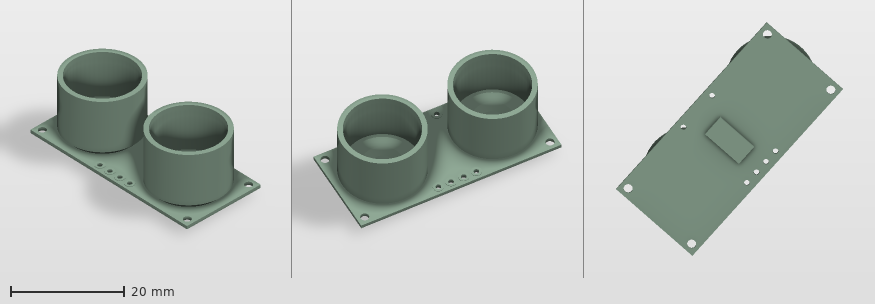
import cadquery as cq

BOARD_LENGTH = 40
BOARD_WIDTH = 18
BOARD_THICKNESS = 0.7
HOLE_SPACING_X = 37.0
HOLE_SPACING_Y = 15.0
MOUNT_HOLE_DIAMETER = 1.6

PAD_DIAMETER = 2
PAD_HOLE_DIAMETER = 1.0
PAD_HEIGHT = 0.1
PAD_COUNT = 4
PAD_ROW_SPAN = 7.6
PAD_PITCH = PAD_ROW_SPAN / (PAD_COUNT - 1)

CUP_SPACING = 22
CUP_DIAMETER = 16
CUP_BORE_DIAMETER = 14
CUP_HEIGHT = 12.1
FOOT_INSET = 1.1
FOOT_HEIGHT = 1.1
CUP_FLOOR_HEIGHT = 2.4

DISC_DIAMETER = 12
DISC_HEIGHT = 0.4
DISH_RIM_DIAMETER = 7.5
DISH_BASE_DIAMETER = 4
DISH_DEPTH = 0.4

CHIP_LENGTH = 4
CHIP_WIDTH = 8
CHIP_THICKNESS = 1.2
CHIP_GAP = 0.1

hole_x = HOLE_SPACING_X / 2
hole_y = HOLE_SPACING_Y / 2
mount_points = [(x, y) for x in (-hole_x, hole_x) for y in (-hole_y, hole_y)]

pad_row_x = [i * PAD_PITCH - PAD_ROW_SPAN / 2 for i in range(PAD_COUNT)]
pad_points = [(x, -hole_y) for x in pad_row_x]
pad_points += [(x, hole_y) for x in (pad_row_x[0], pad_row_x[-1])]


def make_cup(center_x):
    """Open cup with a tapered foot and a dished disc on its floor."""
    outer = CUP_DIAMETER / 2
    bore = CUP_BORE_DIAMETER / 2
    disc_top = CUP_FLOOR_HEIGHT + DISC_HEIGHT
    dish_bottom = disc_top - DISH_DEPTH
    half_profile = [
        (0, 0),
        (outer - FOOT_INSET, 0),
        (outer, FOOT_HEIGHT),
        (outer, CUP_HEIGHT),
        (bore, CUP_HEIGHT),
        (bore, CUP_FLOOR_HEIGHT),
        (DISC_DIAMETER / 2, CUP_FLOOR_HEIGHT),
        (DISC_DIAMETER / 2, disc_top),
        (DISH_RIM_DIAMETER / 2, disc_top),
        (DISH_BASE_DIAMETER / 2, dish_bottom),
        (0, dish_bottom),
    ]
    cup = cq.Workplane("XZ").polyline(half_profile).close().revolve(360, (0, 0, 0), (0, 1, 0))
    return cup.translate((center_x, 0, 0))


def make_sensor_board():
    """Board with its pads, holes and two cups, all in one solid."""
    board = (
        cq.Workplane("XY")
        .box(BOARD_LENGTH, BOARD_WIDTH, BOARD_THICKNESS, centered=(True, True, False))
        .translate((0, 0, -BOARD_THICKNESS))
    )
    pads = cq.Workplane("XY").pushPoints(pad_points).circle(PAD_DIAMETER / 2).extrude(PAD_HEIGHT)
    board = board.union(pads)

    drill_plane = cq.Workplane("XY").workplane(offset=-BOARD_THICKNESS)
    drill_depth = BOARD_THICKNESS + PAD_HEIGHT
    mount_radius = MOUNT_HOLE_DIAMETER / 2
    mount_holes = drill_plane.pushPoints(mount_points).circle(mount_radius).extrude(drill_depth)
    pad_holes = drill_plane.pushPoints(pad_points).circle(PAD_HOLE_DIAMETER / 2).extrude(drill_depth)
    board = board.cut(mount_holes).cut(pad_holes)

    for center_x in (-CUP_SPACING / 2, CUP_SPACING / 2):
        board = board.union(make_cup(center_x))
    return board


def make_chip():
    """Plain rectangular chip under the middle of the board."""
    chip_bottom = -BOARD_THICKNESS - CHIP_GAP - CHIP_THICKNESS
    chip = cq.Workplane("XY").box(CHIP_LENGTH, CHIP_WIDTH, CHIP_THICKNESS, centered=(True, True, False))
    return chip.translate((0, 0, chip_bottom))


sensor_board = make_sensor_board()
chip = make_chip()

result = cq.Compound.makeCompound([sensor_board.val(), chip.val()])